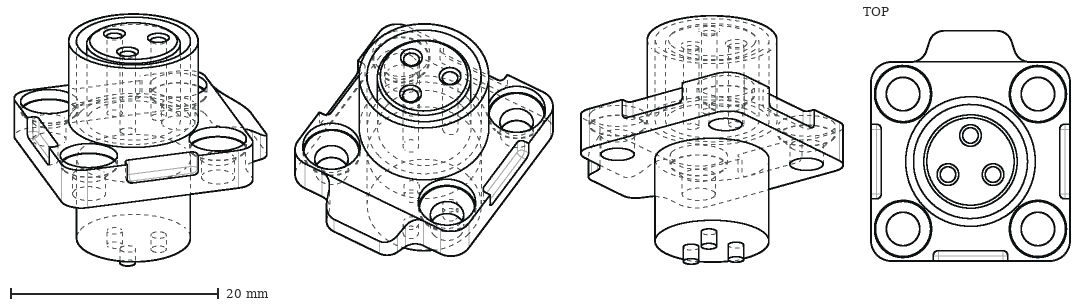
import cadquery as cq
import math

FLANGE_SIDE = 19.2
FLANGE_THICKNESS = 4.0
FLANGE_CORNER_RADIUS = 2.0
FLANGE_HALF = FLANGE_SIDE / 2

TAB_LENGTH = 3.0
TAB_TIP_HALF_WIDTH = 3.63
TAB_SIDE_ANGLE = 18
TAB_BASE_HALF_WIDTH = TAB_TIP_HALF_WIDTH + TAB_LENGTH * math.tan(math.radians(TAB_SIDE_ANGLE))
TAB_FILLET = 1.5
TAB_SLOPE_DROP = FLANGE_THICKNESS / 2

SCREW_SPACING = 13.0
SCREW_HOLE_DIAMETER = 3.2
SCREW_SINK_DIAMETER = 5.3
SCREW_BORE_DIAMETER = 5.5
SCREW_BORE_DEPTH = 1.0
SCREW_SINK_DEPTH = (SCREW_SINK_DIAMETER - SCREW_HOLE_DIAMETER) / 2

RECESS_WIDTH = 7.2
RECESS_DEPTH = 1.0
RECESS_HEIGHT = FLANGE_THICKNESS / 2
RECESS_FILLET = 0.5

SLEEVE_DIAMETER = 12.5
SLEEVE_BORE_DIAMETER = 11.0
SLEEVE_HEIGHT = 8.4
INSERT_DIAMETER = 9.0
INSERT_CHAMFER = 0.3

BODY_DIAMETER = SLEEVE_BORE_DIAMETER
BODY_HEIGHT = 8.5

CONTACT_COUNT = 3
CONTACT_CIRCLE_RADIUS = 2.5
CONTACT_DIAMETER = 1.5
CONTACT_CHAMFER = 0.3
CONTACT_HOLE_DEPTH = SLEEVE_HEIGHT
PIN_LENGTH = 1.5

SOCKET_TOP = FLANGE_THICKNESS + SLEEVE_HEIGHT
OVERCUT = 1.12


def cylinder(diameter, bottom, height):
    """Upright cylinder on the Z axis."""
    return cq.Workplane("XY", origin=(0, 0, bottom)).circle(diameter / 2).extrude(height)


def revolved(profile):
    """Solid of revolution about the Z axis from (radius, height) points."""
    return cq.Workplane("XZ").polyline(profile).close().revolve(360, (0, 0), (0, 1))


def make_flange():
    """Square plate and tab in one outline, with the tab top sloped."""
    tip_y = FLANGE_HALF + TAB_LENGTH
    outline = [
        (-FLANGE_HALF, -FLANGE_HALF),
        (FLANGE_HALF, -FLANGE_HALF),
        (FLANGE_HALF, FLANGE_HALF),
        (TAB_BASE_HALF_WIDTH, FLANGE_HALF),
        (TAB_TIP_HALF_WIDTH, tip_y),
        (-TAB_TIP_HALF_WIDTH, tip_y),
        (-TAB_BASE_HALF_WIDTH, FLANGE_HALF),
        (-FLANGE_HALF, FLANGE_HALF),
    ]
    plate = cq.Workplane("XY").polyline(outline).close().extrude(FLANGE_THICKNESS)
    plate = plate.edges("|Z").edges("not(<X or >X)").fillet(TAB_FILLET)
    plate = plate.edges("|Z").edges("<X or >X").fillet(FLANGE_CORNER_RADIUS)

    slope_cut = (
        cq.Workplane("YZ")
        .moveTo(FLANGE_HALF, FLANGE_THICKNESS)
        .lineTo(tip_y, FLANGE_THICKNESS - TAB_SLOPE_DROP)
        .lineTo(tip_y, FLANGE_THICKNESS)
        .close()
        .extrude(FLANGE_HALF, both=True)
    )
    return plate.cut(slope_cut)


def make_screw_hole():
    """Cutting shape on the Z axis: through hole, 45 degree cone and wider bore."""
    sink_top = FLANGE_THICKNESS - SCREW_BORE_DEPTH
    sink_bottom = sink_top - SCREW_SINK_DEPTH
    profile = [
        (0, 0),
        (SCREW_HOLE_DIAMETER / 2, 0),
        (SCREW_HOLE_DIAMETER / 2, sink_bottom),
        (SCREW_SINK_DIAMETER / 2, sink_top),
        (SCREW_BORE_DIAMETER / 2, sink_top),
        (SCREW_BORE_DIAMETER / 2, FLANGE_THICKNESS),
        (0, FLANGE_THICKNESS),
    ]
    return revolved(profile)


def make_recess():
    """Cutting shape for the recess on the -Y side, open outward and upward."""
    block = cq.Workplane("XY").box(
        RECESS_WIDTH,
        RECESS_DEPTH + OVERCUT,
        RECESS_HEIGHT + OVERCUT,
        centered=(True, False, False),
    )
    back_edges = block.faces(">Y").edges("not >Z")
    bottom_side_edges = block.faces("<Z").edges("|Y")
    block = back_edges.add(bottom_side_edges).fillet(RECESS_FILLET)
    return block.translate((0, -FLANGE_HALF - OVERCUT, FLANGE_THICKNESS - RECESS_HEIGHT))


def make_socket():
    """Sleeve and insert, separated by a ring groove down to the flange."""
    sleeve = cylinder(SLEEVE_DIAMETER, FLANGE_THICKNESS, SLEEVE_HEIGHT)
    bore = cylinder(SLEEVE_BORE_DIAMETER, FLANGE_THICKNESS, SLEEVE_HEIGHT)
    insert = cylinder(INSERT_DIAMETER, FLANGE_THICKNESS, SLEEVE_HEIGHT)
    insert = insert.faces(">Z").chamfer(INSERT_CHAMFER)
    return sleeve.cut(bore).union(insert)


def make_contact_hole():
    """Cutting shape on the Z axis: blind hole with a 45 degree lead-in."""
    radius = CONTACT_DIAMETER / 2
    profile = [
        (0, SOCKET_TOP - CONTACT_HOLE_DEPTH),
        (radius, SOCKET_TOP - CONTACT_HOLE_DEPTH),
        (radius, SOCKET_TOP - CONTACT_CHAMFER),
        (radius + CONTACT_CHAMFER, SOCKET_TOP),
        (0, SOCKET_TOP),
    ]
    return revolved(profile)


flange = make_flange()
screw_hole = make_screw_hole()
for x_side in (-1, 1):
    for y_side in (-1, 1):
        position = (x_side * SCREW_SPACING / 2, y_side * SCREW_SPACING / 2, 0)
        flange = flange.cut(screw_hole.translate(position))

recess = make_recess()
for turn in (-90, 0, 90):
    flange = flange.cut(recess.rotate((0, 0, 0), (0, 0, 1), turn))

body = cylinder(BODY_DIAMETER, -BODY_HEIGHT, BODY_HEIGHT)
result = flange.union(make_socket()).union(body)

contact_hole = make_contact_hole()
pin = cylinder(CONTACT_DIAMETER, -BODY_HEIGHT - PIN_LENGTH, PIN_LENGTH)
for index in range(CONTACT_COUNT):
    angle = math.radians(90 + index * 360 / CONTACT_COUNT)
    position = (CONTACT_CIRCLE_RADIUS * math.cos(angle), CONTACT_CIRCLE_RADIUS * math.sin(angle), 0)
    result = result.cut(contact_hole.translate(position)).union(pin.translate(position))